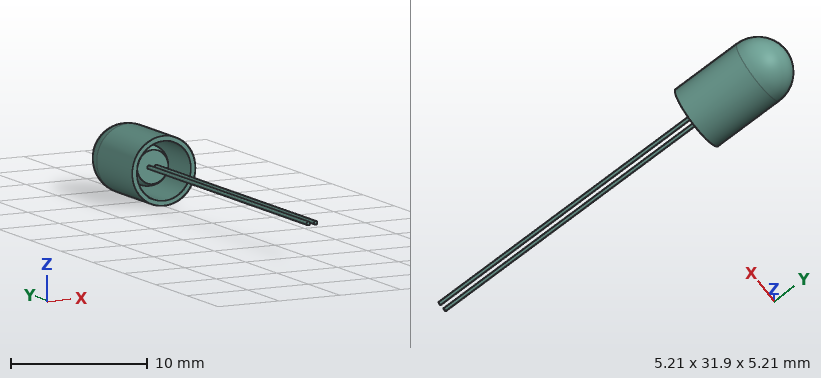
import cadquery as cq
import math

housing_diameter = 5.21
housing_length = 8.3
wall_thickness = 0.38
housing_radius = housing_diameter / 2
cavity_radius = housing_radius - wall_thickness
dome_start = housing_length - housing_radius

overall_length = 31.9
back_face_radius = 1.27
ball_radius = 1.55
back_face_depth = 1.78
flat_offset = math.sqrt(ball_radius**2 - back_face_radius**2)
ball_centre = back_face_depth + flat_offset
lead_diameter = 0.28
lead_spacing = 0.6
lead_tip = housing_length - overall_length


def domed_rod(radius, start, dome_centre):
    """Round rod along +Y from start, ending in a hemisphere about dome_centre."""
    half_chord = radius * math.sqrt(0.5)
    return (
        cq.Workplane("XY")
        .moveTo(0, start)
        .lineTo(radius, start)
        .lineTo(radius, dome_centre)
        .threePointArc((half_chord, dome_centre + half_chord), (0, dome_centre + radius))
        .close()
        .revolve(360, (0, 0, 0), (0, 1, 0))
    )


def make_housing():
    outside = domed_rod(housing_radius, 0, dome_start)
    cavity = domed_rod(cavity_radius, 0, dome_start)
    return outside.cut(cavity)


def make_emitter():
    body = (
        cq.Workplane("XY")
        .moveTo(0, back_face_depth)
        .lineTo(back_face_radius, back_face_depth)
        .threePointArc((ball_radius, ball_centre), (0, ball_centre + ball_radius))
        .close()
        .revolve(360, (0, 0, 0), (0, 1, 0))
    )
    for side in (-1, 1):
        lead = (
            cq.Workplane("XZ", origin=(side * lead_spacing / 2, lead_tip, 0))
            .circle(lead_diameter / 2)
            .extrude(-(ball_centre - lead_tip))
        )
        body = body.union(lead)
    return body


housing = make_housing()
emitter = make_emitter()

result = cq.Compound.makeCompound([housing.val(), emitter.val()])